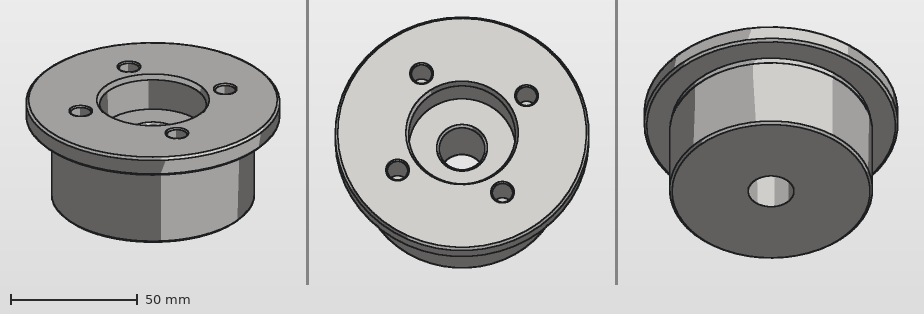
import cadquery as cq
import math

flange_diameter = 100.0
flange_thickness = 8.0
edge_chamfer = 1.0

body_diameter = 80.0
total_height = 43.0
relief_depth = 0.5
relief_width = 2.5

recess_diameter = 42.0
recess_depth = 15.0
lead_in_length = 2.0
lead_in_angle = 30.0
bore_diameter = 18.0
bore_chamfer = 1.0

hole_diameter = 8.0
hole_chamfer = 0.6
hole_depth = 15.0
hole_circle_diameter = 60.0
hole_count = 4
first_hole_angle = 45.0

flange_bottom = total_height - flange_thickness
recess_floor = total_height - recess_depth
lead_in_width = lead_in_length * math.tan(math.radians(lead_in_angle))


def revolve_about_axis(profile):
    """Solid of revolution about Z from (radius, height) points."""
    return cq.Workplane("XZ").polyline(profile).close().revolve(360, (0, 0, 0), (0, 1, 0))


def hole_cutter(diameter, top, depth, mouth_width, mouth_length):
    """Cutter for a flat-bottomed hole going down from height top, with a conical mouth."""
    radius = diameter / 2
    profile = [
        (0, top),
        (radius + mouth_width, top),
        (radius, top - mouth_length),
        (radius, top - depth),
        (0, top - depth),
    ]
    return revolve_about_axis(profile)


def make_blank():
    """Chamfered body, relief and flange as one turned solid."""
    body_radius = body_diameter / 2
    neck_radius = body_radius - relief_depth
    flange_radius = flange_diameter / 2
    shoulder_top = flange_bottom - relief_width
    profile = [
        (0, 0),
        (body_radius - edge_chamfer, 0),
        (body_radius, edge_chamfer),
        (body_radius, shoulder_top - relief_depth),
        (neck_radius, shoulder_top),
        (neck_radius, flange_bottom),
        (flange_radius - edge_chamfer, flange_bottom),
        (flange_radius, flange_bottom + edge_chamfer),
        (flange_radius, total_height - edge_chamfer),
        (flange_radius - edge_chamfer, total_height),
        (0, total_height),
    ]
    return revolve_about_axis(profile)


def cut_center(part):
    """Top recess and the bore through the rest of the body."""
    recess = hole_cutter(recess_diameter, total_height, recess_depth, lead_in_width, lead_in_length)
    bore = hole_cutter(bore_diameter, recess_floor, recess_floor, bore_chamfer, bore_chamfer)
    return part.cut(recess).cut(bore)


def cut_screw_holes(part):
    """Blind holes evenly spaced around the recess."""
    hole = hole_cutter(hole_diameter, total_height, hole_depth, hole_chamfer, hole_chamfer)
    hole = hole.translate((hole_circle_diameter / 2, 0, 0))
    for index in range(hole_count):
        angle = first_hole_angle + index * 360 / hole_count
        part = part.cut(hole.rotate((0, 0, 0), (0, 0, 1), angle))
    return part


result = cut_screw_holes(cut_center(make_blank()))